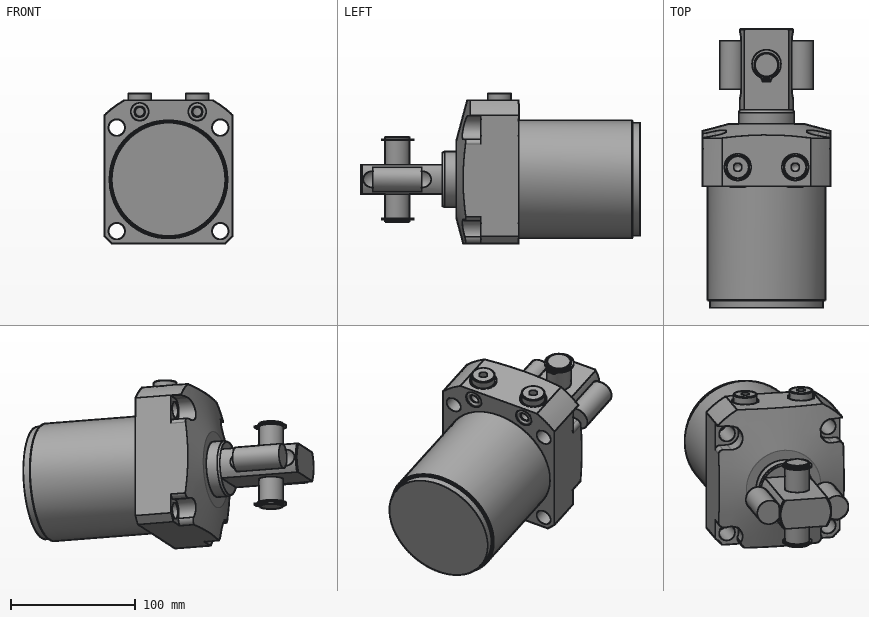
import cadquery as cq
import math


flange_half = 51.5
flange_top = 63.5
flange_corner_radius = 72.7
bottom_chamfer = 6.0
nose_y = 50.1
nose_radius = 30.7
nose_slope = math.tan(math.radians(15))

barrel_radius = 47.5
barrel_end_y = -97.3
barrel_edge_chamfer = 1.0
end_cap_radius = 45.5
end_cap_length = 5.8

bolt_spacing = 83.0
bolt_offset = bolt_spacing / 2
bolt_hole_diameter = 13.0
bolt_seat_y = 30.2
bolt_seat_radius = 9.5
upper_flare_radius = 3.5
lower_flare_radius = 6.0
lower_flare_length = 5.4

port_x = 23.0
plug_y = 15.5
plug_top = 69.1
plug_radius = 9.5
plug_chamfer = 0.7
plug_recess_radius = 10.7
plug_recess_depth = 1.0
plug_hole_radius = 3.4
oil_hole_radius = 3.8
oil_bore_radius = 6.7
oil_bore_bottom = 49.2
drill_point_angle = math.radians(118)
port_z = 54.1
seal_outer_radius = 7.2
seal_wire_radius = 1.5
seal_projection = 0.5
seal_seat_depth = 2.2

tip_y = 126.5
tip_chamfer = 1.0
rod_radius = 22.4
neck_radius = 21.5
neck_y = 61.3
shoulder_length = 2.0
flat_half = 11.9

pin_y = 97.3
pin_radius = 9.8
pin_half_length = 34.2
pin_chamfer = 0.7
ring_z = 31.8
ring_thickness = 1.0
ring_radius = 11.6
ring_shift = 0.7
lug_base_half = 4.7
lug_base_reach = 9.5
lug_end_half = 3.1
lug_reach = 13.2
lug_gap = 1.1
lug_hole_diameter = 1.8
lug_hole_x = 2.0
roller_radius = 9.8
roller_length = 39.2
roller_x = 27.7


def y_cylinder(x, z, radius, y_from, y_to):
    """Cylinder parallel to Y."""
    return cq.Workplane(cq.Solid.makeCylinder(
        radius, y_to - y_from, cq.Vector(x, y_from, z), cq.Vector(0, 1, 0)))


def z_cylinder(x, y, radius, z_from, z_to):
    """Cylinder parallel to Z."""
    return cq.Workplane(cq.Solid.makeCylinder(radius, z_to - z_from, cq.Vector(x, y, z_from)))


def flange_block():
    corner_x = math.sqrt(flange_corner_radius**2 - flange_top**2)
    corner_z = math.sqrt(flange_corner_radius**2 - flange_half**2)
    mid_angle = (math.atan2(flange_top, corner_x) + math.atan2(corner_z, flange_half)) / 2
    mid_x = flange_corner_radius * math.cos(mid_angle)
    mid_z = flange_corner_radius * math.sin(mid_angle)
    chamfer_start = flange_half - bottom_chamfer
    outline = (
        cq.Workplane("XZ")
        .moveTo(-chamfer_start, -flange_half)
        .lineTo(chamfer_start, -flange_half)
        .lineTo(flange_half, -chamfer_start)
        .lineTo(flange_half, corner_z)
        .threePointArc((mid_x, mid_z), (corner_x, flange_top))
        .lineTo(-corner_x, flange_top)
        .threePointArc((-mid_x, mid_z), (-flange_half, corner_z))
        .lineTo(-flange_half, -chamfer_start)
        .close()
        .extrude(-nose_y)
    )
    cone_foot_radius = nose_radius + nose_y / nose_slope
    cone = (
        cq.Workplane("XY")
        .polyline([(0, 0), (cone_foot_radius, 0), (nose_radius, nose_y), (0, nose_y)])
        .close()
        .revolve(360, (0, 0), (0, 1))
    )
    return outline.intersect(cone)


def barrel():
    step_y = barrel_end_y + end_cap_length
    tube = y_cylinder(0, 0, barrel_radius, step_y, 0).faces("<Y").chamfer(barrel_edge_chamfer)
    return tube.union(y_cylinder(0, 0, end_cap_radius, barrel_end_y, step_y))


def upper_bolt_seat():
    """Slot around the +X upper bolt hole, open and flared at the side of the flange."""
    inner_wall = bolt_offset - bolt_seat_radius
    outer_wall = bolt_offset + bolt_seat_radius
    flare_x = flange_half - upper_flare_radius
    flare_rise = upper_flare_radius * (1 - math.cos(math.pi / 4))
    flare_run = upper_flare_radius * math.sin(math.pi / 4)
    return (
        cq.Workplane("XZ", origin=(0, bolt_seat_y, 0))
        .moveTo(bolt_offset, outer_wall)
        .threePointArc((inner_wall, bolt_offset), (bolt_offset, inner_wall))
        .lineTo(flare_x, inner_wall)
        .threePointArc(
            (flare_x + flare_run, inner_wall - flare_rise),
            (flange_half, inner_wall - upper_flare_radius),
        )
        .lineTo(flange_half, outer_wall)
        .close()
        .extrude(bolt_seat_y - nose_y)
    )


def lower_bolt_seat():
    """Corner cut around the +X lower bolt hole, flared at the side and the underside."""
    flare_start = flange_half - lower_flare_length
    wall = bolt_offset - math.sqrt(bolt_seat_radius**2 - (flare_start - bolt_offset) ** 2)
    flare_angle = math.asin(lower_flare_length / lower_flare_radius)
    flare_end = wall - lower_flare_radius * (1 - math.cos(flare_angle))
    flare_mid_run = flare_start + lower_flare_radius * math.sin(flare_angle / 2)
    flare_mid = wall - lower_flare_radius * (1 - math.cos(flare_angle / 2))
    round_mid = bolt_offset - bolt_seat_radius * math.cos(math.pi / 4)
    return (
        cq.Workplane("XZ", origin=(0, bolt_seat_y, 0))
        .moveTo(flange_half, -flare_end)
        .threePointArc((flare_mid_run, -flare_mid), (flare_start, -wall))
        .threePointArc((round_mid, -round_mid), (wall, -flare_start))
        .threePointArc((flare_mid, -flare_mid_run), (flare_end, -flange_half))
        .lineTo(flange_half, -flange_half)
        .close()
        .extrude(bolt_seat_y - nose_y)
    )


def cut_bolt_holes(body):
    for seat, z in ((upper_bolt_seat(), bolt_offset), (lower_bolt_seat(), -bolt_offset)):
        hole = seat.union(y_cylinder(bolt_offset, z, bolt_hole_diameter / 2, 0, nose_y))
        body = body.cut(hole).cut(hole.mirror("YZ"))
    return body


def add_port(body, x):
    """Screw plug on top and a seal ring on the mounting face, joined by crossing oil holes."""
    recess = z_cylinder(x, plug_y, plug_recess_radius, flange_top - plug_recess_depth, flange_top)
    plug = z_cylinder(x, plug_y, plug_radius, flange_top - plug_recess_depth, plug_top)
    plug = plug.faces(">Z").chamfer(plug_chamfer)
    seat = y_cylinder(x, port_z, seal_outer_radius, 0, seal_seat_depth)
    seal = cq.Workplane(cq.Solid.makeTorus(
        seal_outer_radius - seal_wire_radius, seal_wire_radius,
        cq.Vector(x, seal_wire_radius - seal_projection, port_z), cq.Vector(0, 1, 0)))
    oil_holes = oil_bore(x).union(y_cylinder(x, port_z, oil_hole_radius, 0, plug_y))
    oil_holes = oil_holes.union(z_cylinder(x, plug_y, plug_hole_radius, oil_bore_bottom, plug_top))
    return body.cut(recess).union(plug).cut(seat).union(seal).cut(oil_holes)


def oil_bore(x):
    point_length = oil_bore_radius / math.tan(drill_point_angle / 2)
    point = cq.Workplane(cq.Solid.makeCone(
        0, oil_bore_radius, point_length, cq.Vector(x, plug_y, oil_bore_bottom - point_length)))
    bore_top = flange_top - plug_recess_depth
    return z_cylinder(x, plug_y, oil_bore_radius, oil_bore_bottom, bore_top).union(point)


def make_housing():
    body = flange_block().union(barrel())
    body = cut_bolt_holes(body)
    for side in (-1, 1):
        body = add_port(body, side * port_x)
    return body


def make_pin():
    """Cross pin with a retaining ring at each end."""
    pin = z_cylinder(0, pin_y, pin_radius, -pin_half_length, pin_half_length)
    pin = pin.faces("<Z or >Z").chamfer(pin_chamfer)
    for z in (-ring_z, ring_z):
        pin = pin.union(retaining_ring(z))
    return pin


def retaining_ring(z):
    """Eccentric ring with two tapered, drilled lugs and a gap between them."""
    base = cq.Workplane("XY", origin=(0, pin_y, z - ring_thickness / 2))
    ring = base.center(0, ring_shift).circle(ring_radius).extrude(ring_thickness)
    lugs = (
        base.polyline([
            (-lug_base_half, -lug_base_reach),
            (-lug_end_half, -lug_reach),
            (lug_end_half, -lug_reach),
            (lug_base_half, -lug_base_reach),
        ])
        .close()
        .extrude(ring_thickness)
    )
    lug_middle = -(lug_reach + pin_radius) / 2
    gap = base.center(0, lug_middle).rect(lug_gap, lug_reach - pin_radius).extrude(ring_thickness)
    holes = (
        base.pushPoints([(-lug_hole_x, lug_middle), (lug_hole_x, lug_middle)])
        .circle(lug_hole_diameter / 2)
        .extrude(ring_thickness)
    )
    return ring.union(lugs).cut(gap).cut(holes)


def make_roller(side):
    half = roller_length / 2
    return y_cylinder(side * roller_x, 0, roller_radius, pin_y - half, pin_y + half)


def roller_groove(side):
    """Space for a roller, with a ball-shaped run-out at each end."""
    groove = make_roller(side)
    for end in (-1, 1):
        ball = cq.Workplane("XY").sphere(roller_radius)
        groove = groove.union(ball.translate((side * roller_x, pin_y + end * roller_length / 2, 0)))
    return groove


def make_rod():
    """Round rod whose end has two flats, a cross hole and a groove along each side."""
    rod = (
        cq.Workplane("XY")
        .polyline([
            (0, nose_y),
            (rod_radius, nose_y),
            (rod_radius, neck_y - shoulder_length),
            (neck_radius, neck_y),
            (neck_radius, tip_y - tip_chamfer),
            (neck_radius - tip_chamfer, tip_y),
            (0, tip_y),
        ])
        .close()
        .revolve(360, (0, 0), (0, 1))
    )
    neck_length = tip_y - neck_y
    for level in (-1, 1):
        flat_cut = cq.Workplane("XY").box(2 * rod_radius, neck_length, rod_radius)
        rod = rod.cut(flat_cut.translate(
            (0, neck_y + neck_length / 2, level * (flat_half + rod_radius / 2))))
    rod = rod.cut(z_cylinder(0, pin_y, pin_radius, -flat_half, flat_half))
    for side in (-1, 1):
        rod = rod.cut(roller_groove(side))
    return rod


housing = make_housing()
rod = make_rod()
pin = make_pin()
rollers = [make_roller(side) for side in (-1, 1)]

result = cq.Compound.makeCompound([
    housing.val(),
    rod.val(),
    pin.val(),
    *[roller.val() for roller in rollers],
])